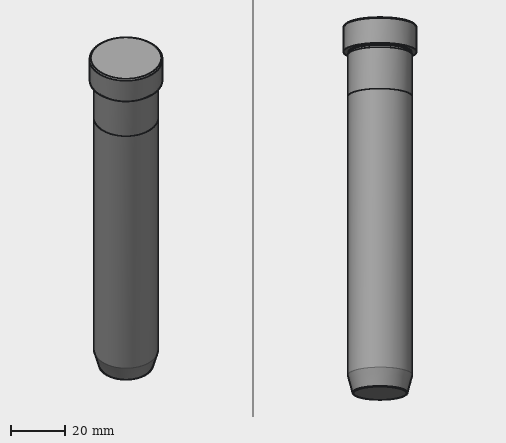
import cadquery as cq
import math

total_length = 140.0
shaft_diameter = 24.0
shaft_radius = shaft_diameter / 2

head_diameter = 27.0
head_radius = head_diameter / 2
head_height = 10.0
head_chamfer = 0.5
head_piece_length = 27.0

groove_depth = 0.3
groove_width = 1.3
groove_slope_height = 0.8

taper_height = 7.0
taper_angle = 15.0
tip_chamfer = 0.3

joint_z = total_length - head_piece_length
head_bottom_z = total_length - head_height
tip_radius = shaft_radius - taper_height * math.tan(math.radians(taper_angle))


def make_head_piece():
    """Head and shank, with a relief groove that slopes out to the shank."""
    neck_radius = shaft_radius - groove_depth
    slope_top_z = head_bottom_z - groove_width + groove_slope_height
    profile = (
        cq.Workplane("XZ")
        .moveTo(0, joint_z)
        .lineTo(shaft_radius, joint_z)
        .lineTo(shaft_radius, head_bottom_z - groove_width)
        .lineTo(neck_radius, slope_top_z)
        .lineTo(neck_radius, head_bottom_z)
        .lineTo(head_radius, head_bottom_z)
        .lineTo(head_radius, total_length)
        .lineTo(0, total_length)
        .close()
    )
    head = profile.revolve(360, (0, 0, 0), (0, 1, 0))
    return head.faces(">Z").edges().chamfer(head_chamfer)


def make_shaft():
    """Long shaft with a tapered lead-in and a broken edge at the tip."""
    profile = (
        cq.Workplane("XZ")
        .lineTo(tip_radius, 0)
        .lineTo(shaft_radius, taper_height)
        .lineTo(shaft_radius, joint_z)
        .lineTo(0, joint_z)
        .close()
    )
    shaft = profile.revolve(360, (0, 0, 0), (0, 1, 0))
    return shaft.faces("<Z").edges().chamfer(tip_chamfer)


head_piece = make_head_piece()
shaft = make_shaft()

result = cq.Compound.makeCompound([head_piece.val(), shaft.val()])